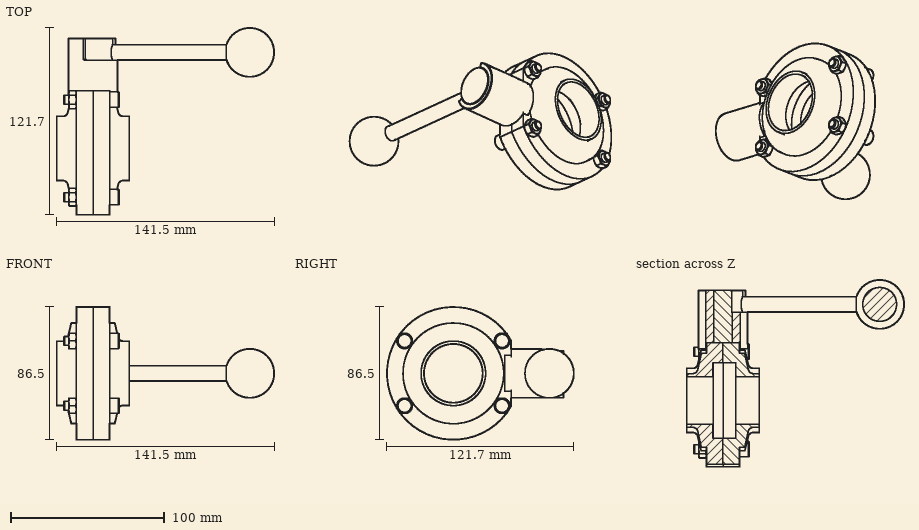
import cadquery as cq
import math


flange_radius = 86.5 / 2
flange_thickness = 21.6 / 2
flange_flat_y = 37.6
bore_radius = 38.0 / 2
nipple_radius = 42.0 / 2
nipple_end = 23.6
seal_groove_radius = 54.0 / 2
nut_side_groove_depth = 6.5
head_side_groove_depth = 8.2

ring_radius = 65.5 / 2
ring_height = 3.4
ring_edge_fillet = 0.7
cone_rise = 2.8
neck_fillet = 2.8

bolt_y = 31.7
bolt_z = 21.1
bolt_diameter = 6.0
bolt_tip_length = 8.2
bolt_tip_chamfer = 0.5
nut_sides = 6
nut_width = 10.0
nut_thickness = 5.0
nut_chamfer_diameter = 9.8
nut_chamfer_angle = 30
head_diameter = 10.0
head_length = 6.4
head_chamfer = 0.7

sleeve_radius = 32.0 / 2
sleeve_end_y = 71.7
sleeve_leg_y = 33.5
spindle_radius = 25.5 / 2
end_chamfer = 0.4

overall_depth = 121.7
ball_radius = 32.0 / 2
rod_radius = 10.0 / 2
rod_y = overall_depth - flange_radius - ball_radius
rod_start = spindle_radius / 2
ball_x = 101.9

window_start_y = rod_y - rod_radius
window_corner_radius = 1.1
window_margin_angle = math.degrees(math.asin(rod_radius / spindle_radius))
window_sweep = 90 + 2 * window_margin_angle

bolt_points = [(y, z) for y in (-bolt_y, bolt_y) for z in (-bolt_z, bolt_z)]


def cylinder_along_y(radius, start, end):
    return cq.Workplane("XZ", origin=(0, start, 0)).circle(radius).extrude(start - end)


def flange(groove_depth):
    """Half of the valve body on the +X side, with its mating face and seal groove at X = 0."""
    ring_face = flange_thickness + ring_height
    outline = [
        (0, seal_groove_radius),
        (0, flange_radius),
        (flange_thickness, flange_radius),
        (flange_thickness, ring_radius),
        (ring_face, ring_radius),
        (ring_face + cone_rise, nipple_radius),
        (nipple_end, nipple_radius),
        (nipple_end, bore_radius),
        (groove_depth, bore_radius),
        (groove_depth, seal_groove_radius),
    ]
    body = cq.Workplane("XY").polyline(outline).close().revolve(360, (0, 0, 0), (1, 0, 0))

    def circle_at(x, radius):
        edges = [
            edge for edge in body.edges("%CIRCLE").vals()
            if math.isclose(edge.radius(), radius, abs_tol=0.001)
            and math.isclose(edge.Center().x, x, abs_tol=0.001)
        ]
        return cq.Workplane(body.val()).newObject(edges)

    body = circle_at(ring_face + cone_rise, nipple_radius).fillet(neck_fillet)
    body = circle_at(ring_face, ring_radius).fillet(ring_edge_fillet)

    flat_side = cq.Workplane("XY").box(
        nipple_end, flange_radius, 2 * flange_radius, centered=(False, False, True)
    )
    return body.cut(flat_side.translate((0, flange_flat_y, 0)))


def nut():
    """Hexagonal nut that stands on X = 0 and points to -X, with the corners beveled at both ends."""
    corner_diameter = nut_width / math.cos(math.pi / nut_sides)
    hexagon = cq.Workplane("YZ").polygon(nut_sides, corner_diameter).extrude(-nut_thickness)
    half_thickness = nut_thickness / 2
    rim_radius = nut_chamfer_diameter / 2
    waist_radius = rim_radius + half_thickness / math.tan(math.radians(nut_chamfer_angle))
    double_cone = (
        cq.Workplane("XY")
        .polyline([
            (0, 0),
            (0, rim_radius),
            (-half_thickness, waist_radius),
            (-nut_thickness, rim_radius),
            (-nut_thickness, 0),
        ])
        .close()
        .revolve(360, (0, 0, 0), (1, 0, 0))
    )
    return hexagon.intersect(double_cone)


def nut_flange():
    """Flange on the -X side with the four nuts and bolt tips."""
    tip = cq.Workplane("YZ").circle(bolt_diameter / 2).extrude(-bolt_tip_length)
    fastener = nut().union(tip.faces("<X").chamfer(bolt_tip_chamfer))
    body = flange(nut_side_groove_depth).mirror("YZ")
    for y, z in bolt_points:
        body = body.union(fastener.translate((-flange_thickness, y, z)))
    return body


def head_flange():
    """Flange on the +X side with the four bolt heads."""
    head = cq.Workplane("YZ").circle(head_diameter / 2).extrude(head_length)
    head = head.faces(">X").chamfer(head_chamfer)
    body = flange(head_side_groove_depth)
    for y, z in bolt_points:
        body = body.union(head.translate((flange_thickness, y, z)))
    return body


def swing_window():
    """Sector around the spindle through which the rod swings from +X to +Z."""
    length = sleeve_end_y - window_start_y
    depth = 2 * (sleeve_radius - spindle_radius)
    middle_radius = (sleeve_radius + spindle_radius) / 2
    sector = (
        cq.Workplane("XY")
        .center(middle_radius, length / 2)
        .rect(depth, length)
        .revolve(window_sweep, (-middle_radius, 0, 0), (-middle_radius, 1, 0))
    )
    sector = sector.faces("<Y").edges("%LINE").fillet(window_corner_radius)
    sector = sector.rotate((0, 0, 0), (0, 1, 0), window_margin_angle - window_sweep)
    return sector.translate((0, window_start_y, 0))


def sleeve():
    """Sleeve around the spindle; its two legs straddle the flanges."""
    body = cylinder_along_y(sleeve_radius, sleeve_leg_y, sleeve_end_y)
    body = body.faces(">Y").chamfer(end_chamfer)
    flange_slot = cq.Workplane("XY").box(
        2 * flange_thickness, flange_flat_y - sleeve_leg_y, 2 * sleeve_radius, centered=(True, False, True)
    )
    body = body.cut(flange_slot.translate((0, sleeve_leg_y, 0)))
    body = body.cut(cylinder_along_y(spindle_radius, flange_flat_y, sleeve_end_y))
    return body.cut(swing_window())


def rod():
    return (
        cq.Workplane("YZ", origin=(rod_start, rod_y, 0))
        .circle(rod_radius)
        .extrude(ball_x - rod_start)
    )


def spindle():
    """Round core inside the sleeve, with a blind hole for the rod."""
    body = cylinder_along_y(spindle_radius, flange_flat_y, sleeve_end_y)
    return body.faces(">Y").chamfer(end_chamfer).cut(rod())


def lever():
    """Rod with its ball knob."""
    return rod().union(cq.Workplane("XY").sphere(ball_radius).translate((ball_x, rod_y, 0)))


result = cq.Compound.makeCompound([
    nut_flange().val(),
    head_flange().val(),
    sleeve().val(),
    spindle().val(),
    lever().val(),
])